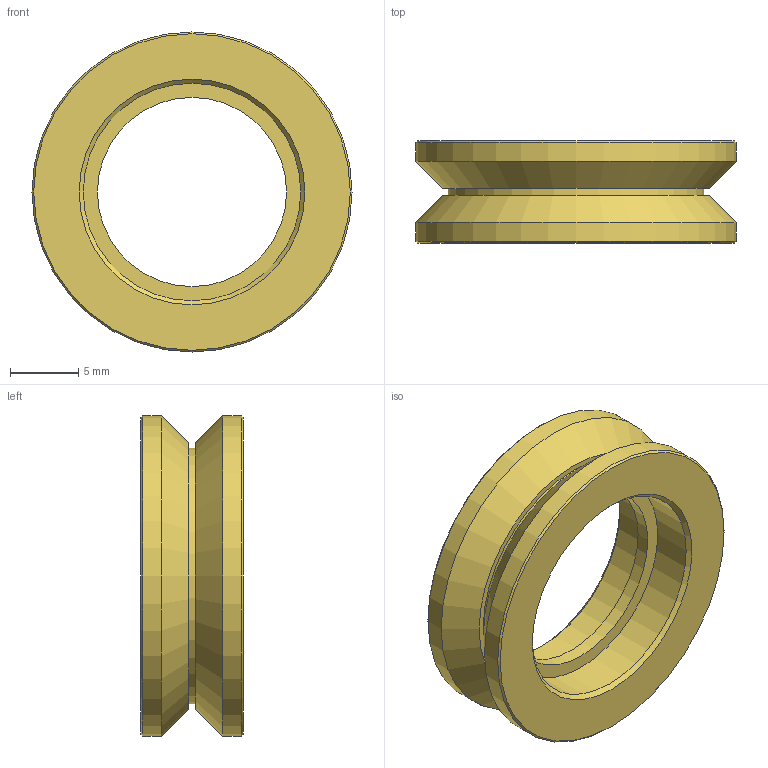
import cadquery as cq

outer_diameter = 23.5
width = 7.5
rim_chamfer = 0.13

rim_land_width = 1.5
groove_flank_depth = 1.95
relief_width = 0.5
relief_diameter = 18.75

shoulder_diameter = 13.89
shoulder_width = 1.0
seat_diameter = 15.97
seat_chamfer = 0.3

outer_radius = outer_diameter / 2
relief_radius = relief_diameter / 2
shoulder_radius = shoulder_diameter / 2
seat_radius = seat_diameter / 2
half_width = width / 2
half_relief = relief_width / 2
half_shoulder = shoulder_width / 2
groove_mouth = half_width - rim_land_width
groove_root_radius = outer_radius - groove_flank_depth


def half_section():
    """Section points (radius, axial position) on one side of the mid plane, bore to rim."""
    return [
        (shoulder_radius, half_shoulder),
        (seat_radius, half_shoulder),
        (seat_radius, half_width - seat_chamfer),
        (seat_radius + seat_chamfer, half_width),
        (outer_radius - rim_chamfer, half_width),
        (outer_radius, half_width - rim_chamfer),
        (outer_radius, groove_mouth),
        (groove_root_radius, half_relief),
        (relief_radius, half_relief),
    ]


def grooved_ring():
    """Mirror the half section across the mid plane and revolve it about the Y axis."""
    upper = half_section()
    lower = [(radius, -position) for radius, position in reversed(upper)]
    section = cq.Workplane("XY").polyline(upper + lower).close()
    return section.revolve(360, (0, 0, 0), (0, 1, 0))


result = grooved_ring()